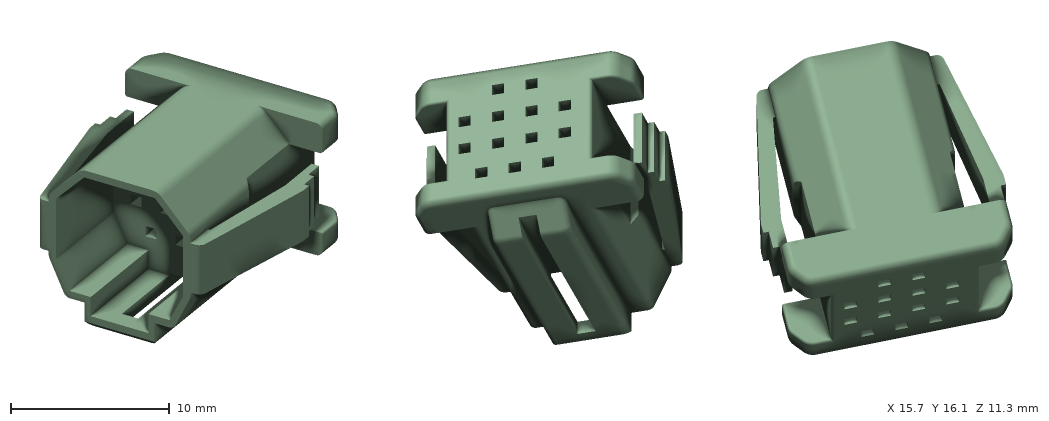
import cadquery as cq

length = 16.05
height = 11.3
margin = 0.16

shell_bottom = 1.75
shell_half_width = 5.22
shell_top_half = 2.8
shell_bottom_half = 3.96
upper_corner_z = 8.8
lower_corner_z = 4.33
corner_round = 0.96
bottom_corner_round = 0.48

socket_depth = 7.06
socket_half_width = 4.67
socket_top_half = 2.6
socket_bottom_half = 3.66
socket_top = 10.79
socket_bottom = 2.28
socket_upper_corner_z = 8.65
socket_lower_corner_z = 4.29

flat_half_width = 4.8
flat_start = 7.56
flat_ramp = 0.4

flange_front = 12.76
flange_half_width = 7.25
upper_flange_thickness = 2.1
lower_flange_thickness = 1.72
flange_chamfer_x = 1.0
flange_chamfer_y = 1.3
flange_corner_round = 1.0
flange_outer_round = 0.5
flange_inner_round = 0.18
rear_block_round = 0.24

key_half_width = 2.58
key_slope_start = 13.2
key_slope_end = 14.69
key_round = 0.48
key_heel_round = 0.65
key_channel_half = 2.12
key_floor = 0.9
key_mouth_chamfer = 0.4
slot_half_width = 0.6
slot_start = 1.28
slot_top = 1.08

arm_center_z = 6.5
arm_root_half = 1.78
arm_tip_half = 1.85
arm_root_length = 2.1
arm_bend = 9.42
arm_tip = 12.63
arm_inner_x = 6.53
arm_gap_x = 5.4
arm_steps = [(7.85, 10.13), (7.5, 11.33), (7.08, arm_tip)]
arm_mouth_x = 5.99
arm_mouth_round = 0.48

hole_width = 0.8
hole_height = 0.72
hole_pitch_x = 2.2
hole_row_pitch = 1.99
hole_center_x = 0.25
bottom_row_z = 3.6
holes_per_row = [3, 4, 4, 2]


def mirrored(right_points):
    """Close a right-hand outline with its mirror image about X = 0."""
    return right_points + [(-x, z) for x, z in reversed(right_points)]


def along_y(outline, start, end):
    """Extrude an X-Z outline from Y = start to Y = end."""
    plane = cq.Workplane("XZ", origin=(0, start, 0))
    return plane.polyline(outline).close().extrude(start - end)


def edge_near(x, y, z):
    return cq.selectors.NearestToPointSelector((x, y, z))


def box(x_range, y_range, z_range):
    start = (x_range[0], y_range[0], z_range[0])
    size = [high - low for low, high in (x_range, y_range, z_range)]
    return cq.Workplane("XY").box(*size, centered=False).translate(start)


def make_shell():
    corners = [
        (shell_bottom_half, shell_bottom, bottom_corner_round),
        (shell_half_width, lower_corner_z, corner_round),
        (shell_half_width, upper_corner_z, corner_round),
        (shell_top_half, height, corner_round),
    ]
    outline = mirrored([(x, z) for x, z, _ in corners])
    shell = along_y(outline, 0, length - flange_outer_round)
    for x, z, radius in corners + [(-x, z, radius) for x, z, radius in corners]:
        shell = shell.edges(edge_near(x, length / 2, z)).fillet(radius)

    relief = (
        cq.Workplane("XY")
        .polyline([
            (flat_half_width, length),
            (flat_half_width, flat_start),
            (shell_half_width, flat_start - flat_ramp),
            (shell_half_width + margin, flat_start - flat_ramp),
            (shell_half_width + margin, length),
        ])
        .close()
        .extrude(height)
    )
    return shell.cut(relief).cut(relief.mirror("YZ"))


def make_flange(bottom, thickness, outer_face, inner_face):
    chamfer_x = flange_half_width - flange_chamfer_x
    chamfer_y = length - flange_chamfer_y
    flange = (
        cq.Workplane("XY", origin=(0, 0, bottom))
        .polyline(mirrored([
            (flange_half_width, flange_front),
            (flange_half_width, chamfer_y),
            (chamfer_x, length),
        ]))
        .close()
        .extrude(thickness)
    )
    flange = flange.edges("|Z").edges("not <Y").fillet(flange_corner_round)
    flange = flange.faces(outer_face).edges("not <Y").fillet(flange_outer_round)
    return flange.faces(inner_face).edges("not <Y").fillet(flange_inner_round)


def make_rear_block():
    """Body between the flanges, overlapping both past their rounded inner edges."""
    block = box(
        (-flat_half_width, flat_half_width),
        (flange_front, length),
        (
            shell_bottom + lower_flange_thickness - flange_inner_round,
            height - upper_flange_thickness + flange_inner_round,
        ),
    )
    return block.edges("|Z and >Y").fillet(rear_block_round)


def make_key():
    key = (
        cq.Workplane("YZ", origin=(-key_half_width, 0, 0))
        .polyline([
            (0, 0),
            (key_slope_start, 0),
            (key_slope_end, shell_bottom),
            (key_slope_end, socket_bottom),
            (0, socket_bottom),
        ])
        .close()
        .extrude(2 * key_half_width)
    )
    key = key.edges(edge_near(0, key_slope_start, 0)).fillet(key_heel_round)
    below_shell = cq.selectors.BoxSelector(
        (-length, margin, -margin),
        (length, length, shell_bottom - margin),
    )
    key = key.edges("<X or >X").edges(below_shell).fillet(key_round)
    mouth_chamfer = (
        cq.Workplane("YZ", origin=(-key_half_width, 0, 0))
        .polyline([(0, 0), (key_mouth_chamfer, 0), (0, key_mouth_chamfer)])
        .close()
        .extrude(2 * key_half_width)
    )
    return key.cut(mouth_chamfer)


def make_arm():
    """Right-hand latch arm, joined to the shell by a block at the mouth."""
    outline = [
        (socket_half_width, 0),
        (arm_mouth_x, 0),
        (arm_steps[0][0], arm_bend),
    ]
    for (x, step_y), (next_x, _) in zip(arm_steps, arm_steps[1:]):
        outline += [(x, step_y), (next_x, step_y)]
    outline += [
        (arm_steps[-1][0], arm_tip),
        (arm_inner_x, arm_tip),
        (arm_inner_x, arm_bend),
        (arm_gap_x, arm_root_length),
        (socket_half_width, arm_root_length),
    ]
    arm = (
        cq.Workplane("XY", origin=(0, 0, arm_center_z - arm_tip_half))
        .polyline(outline)
        .close()
        .extrude(2 * arm_tip_half)
    )
    arm = arm.edges(edge_near(arm_mouth_x, 0, arm_center_z)).fillet(arm_mouth_round)
    width_profile = (
        cq.Workplane("YZ")
        .polyline([
            (0, arm_center_z - arm_root_half),
            (arm_root_length, arm_center_z - arm_root_half),
            (arm_tip, arm_center_z - arm_tip_half),
            (arm_tip, arm_center_z + arm_tip_half),
            (arm_root_length, arm_center_z + arm_root_half),
            (0, arm_center_z + arm_root_half),
        ])
        .close()
        .extrude(length)
    )
    return arm.intersect(width_profile)


def make_socket():
    """Octagonal cavity with the key channel in its floor."""
    outline = mirrored([
        (key_channel_half, key_floor),
        (key_channel_half, socket_bottom),
        (socket_bottom_half, socket_bottom),
        (socket_half_width, socket_lower_corner_z),
        (socket_half_width, socket_upper_corner_z),
        (socket_top_half, socket_top),
    ])
    return along_y(outline, 0, socket_depth)


def make_contact_holes():
    centers = []
    for row, count in enumerate(holes_per_row):
        z = bottom_row_z + row * hole_row_pitch
        for column in range(count):
            x = hole_center_x + (column - (count - 1) / 2) * hole_pitch_x
            centers.append((x, z))
    return cq.Workplane("XZ").pushPoints(centers).rect(hole_width, hole_height).extrude(-length)


arm = make_arm()
slot = box((-slot_half_width, slot_half_width), (slot_start, length), (0, slot_top))

result = (
    make_shell()
    .union(make_rear_block())
    .union(make_flange(height - upper_flange_thickness, upper_flange_thickness, ">Z", "<Z"))
    .union(make_flange(shell_bottom, lower_flange_thickness, "<Z", ">Z"))
    .union(make_key())
    .union(arm)
    .union(arm.mirror("YZ"))
    .cut(make_socket())
    .cut(make_contact_holes())
    .cut(slot)
)